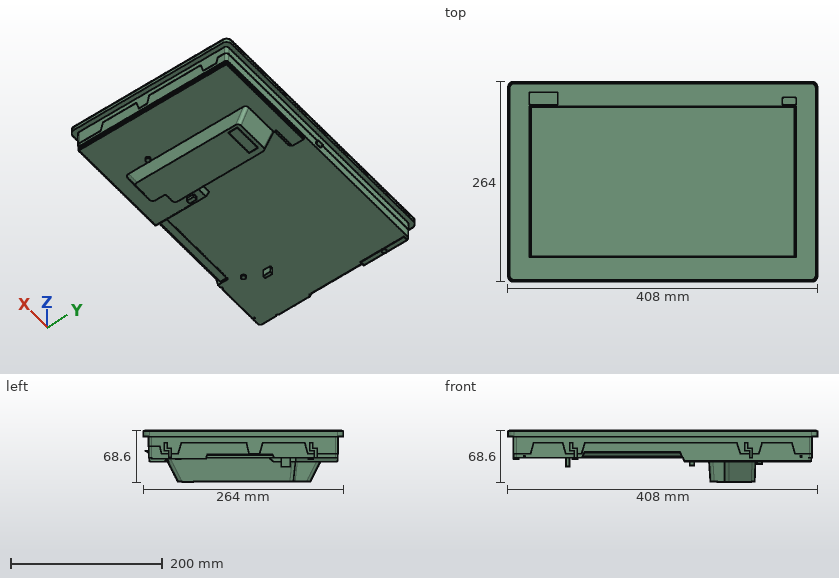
import cadquery as cq


BEZEL_X, BEZEL_Y = 408.0, 264.0
BEZEL_DEPTH = 8.4
BEZEL_CORNER_R = 8.0
GLASS_INSET = 2.6
GLASS_RISE = 0.5
RIM_BEVEL_IN, RIM_BEVEL_DOWN = 1.3, 0.9

SCREEN_X, SCREEN_Y = 352.0, 199.2
SCREEN_LEDGE = 1.5
SCREEN_STEP = 1.1
SCREEN_DEPTH = 2.2
SCREEN_CORNER_R = 2.0

LABEL_DEPTH = 0.2
LABEL_CORNER_R = 2.0
LABEL_GAP = 1.5
LOGO_X, LOGO_Y = 38.0, 17.0
SENSOR_X, SENSOR_Y = 18.5, 10.0

HOUSING_INSET = 7.0
HOUSING_X = BEZEL_X - 2 * HOUSING_INSET
HOUSING_Y = BEZEL_Y - 2 * HOUSING_INSET
HOUSING_CORNER_R = 4.0
REAR_DEPTH = 36.6
SKIN = 0.3

WINDOW_DEPTH = 16.8
TAB_DEPTH = 31.0
BACK_WALL_DEPTH = 21.2

FRONT_WINDOWS = (
    (-174.0, -170.2, -131.8, -127.8),
    (-107.0, -102.6, 97.8, 102.2),
    (126.6, 130.8, 170.2, 174.4),
)
SIDE_WINDOWS = (
    (-85.0, -81.2, -25.6, -21.6),
    (-7.6, -4.4, 81.6, 85.8),
)
BACK_TAB_FOOT_Y, BACK_TAB_TOP_Y = 107.6, 109.9

DEEP_DEPTH = 41.6
DEEP_INSET = 1.0
DEEP_CHAMFER = 1.5
STEP_X = 28.7
STEP_RUN = 2.2
SLOPE_END_Y = -69.0
BAY_Y_MIN, BAY_Y_MAX = -40.0, 104.0
BAY_FLANK_RUN = 5.7

FRONT_RELIEF_TOP, FRONT_RELIEF_LEDGE, FRONT_RELIEF_FOOT = 28.0, 29.4, 34.4
FRONT_RELIEF_LEDGE_IN, FRONT_RELIEF_FOOT_IN, FRONT_RELIEF_REACH = 2.0, 5.0, 17.0
FRONT_RELIEF_X_MIN, FRONT_RELIEF_X_MAX = -102.6, 22.3
FRONT_RELIEF_FLARE = 6.4
SIDE_RELIEF_TOP, SIDE_RELIEF_LEDGE, SIDE_RELIEF_REACH = 31.4, 33.2, 3.0
SIDE_RELIEF_Y_MIN, SIDE_RELIEF_Y_MAX = -38.5, 47.0
SIDE_RELIEF_FLARE = 2.0

BLOCK_DEPTH = 67.8
BLOCK_TOP_X, BLOCK_BOTTOM_X = (60.5, 122.4), (62.6, 121.4)
BLOCK_TOP_Y, BLOCK_BOTTOM_Y = (-104.8, 102.6), (-88.4, 86.2)
BLOCK_NOTCH_X = 82.0
BLOCK_NOTCH_TOP_Y, BLOCK_NOTCH_BOTTOM_Y = -69.5, -66.0
BLOCK_CORNER_R = 5.0
BLOCK_NOTCH_R = 2.0
OVERALL_DEPTH = 68.58
FOOT_X, FOOT_Y = 44.5, 14.8
FOOT_CENTER = (94.4, 73.0)

HOOK_CUT = 1.5
HOOK_TOP, HOOK_SHELF, HOOK_SILL = 16.3, 24.0, 27.0
HOOK_WIDTH, HOOK_ARM, HOOK_SLOT = 9.6, 3.8, 3.6
FRONT_HOOKS = (-122.5, 108.4)
SIDE_HOOKS = (104.2, -87.8)

PIN_HOLE_X, PIN_HOLE_DEPTH = 182.3, 34.6
PIN_HOLE_D, PIN_HOLE_LENGTH = 2.0, 3.0

SCREW_D = 7.0
SHALLOW_SCREWS = ((-115.5, -89.0), (-193.0, 85.5))
SHALLOW_SCREW_HEIGHT = 2.0
CORNER_PAD_WIDTH, CORNER_PAD_HEIGHT = 7.0, 1.1
CORNER_PAD_START_Y = 48.5
DEEP_SCREW = (127.5, -60.0)
DEEP_SCREW_HEIGHT = 3.2

POST_Y = -56.0
POST_LENGTH_Y = 12.0
FAR_POST_X, FAR_POST_WIDTH, FAR_POST_DEPTH = -125.2, 4.8, 47.9
NEAR_POST_X, NEAR_POST_WIDTH, NEAR_POST_DEPTH = 38.5, 6.2, 46.8

LATCH_TOP, LATCH_BOTTOM = 26.8, 29.6
LATCH_REACH, LATCH_WIDTH = 4.2, 10.0

OVERLAP = 1.0
WALL_SLAB = HOUSING_CORNER_R


def block(x, y, top, bottom, center=(0, 0)):
    """Upright box between two depths."""
    return (
        cq.Workplane("XY", origin=(center[0], center[1], -bottom))
        .rect(x, y)
        .extrude(bottom - top)
    )


def rounded_block(x, y, top, bottom, radius, center=(0, 0)):
    return block(x, y, top, bottom, center).edges("|Z").fillet(radius)


def along_y(outline, y_start, y_end):
    """Extrude an (X, depth) outline along Y."""
    points = [(x, -depth) for x, depth in outline]
    plane = cq.Workplane("XZ", origin=(0, y_start, 0))
    return plane.polyline(points).close().extrude(y_start - y_end)


def along_x(outline, x_start, x_end):
    """Extrude a (Y, depth) outline along X."""
    points = [(y, -depth) for y, depth in outline]
    plane = cq.Workplane("YZ", origin=(x_start, 0, 0))
    return plane.polyline(points).close().extrude(x_end - x_start)


def bezel():
    """Bevelled rim with the glass standing slightly above it."""
    rim = rounded_block(BEZEL_X, BEZEL_Y, GLASS_RISE, BEZEL_DEPTH, BEZEL_CORNER_R)
    rim = rim.faces(">Z").edges().chamfer(RIM_BEVEL_DOWN, RIM_BEVEL_IN)
    glass_x = BEZEL_X - 2 * GLASS_INSET
    glass_y = BEZEL_Y - 2 * GLASS_INSET
    glass_bottom = GLASS_RISE + OVERLAP
    return rim.union(rounded_block(glass_x, glass_y, 0, glass_bottom, BEZEL_CORNER_R - GLASS_INSET))


def screen_recess():
    """Recess with one ledge all round and a second along the two short sides."""
    inner_y = SCREEN_Y - 2 * SCREEN_LEDGE
    middle_x = SCREEN_X - 2 * SCREEN_LEDGE
    inner_x = middle_x - 2 * SCREEN_LEDGE
    middle_depth = (SCREEN_STEP + SCREEN_DEPTH) / 2
    recess = rounded_block(SCREEN_X, SCREEN_Y, 0, SCREEN_STEP, SCREEN_CORNER_R)
    recess = recess.union(block(middle_x, inner_y, 0, middle_depth))
    return recess.union(block(inner_x, inner_y, 0, SCREEN_DEPTH))


def label_recess(x, y, side):
    """Shallow label field above one end of the screen; side is -1 or +1 in X."""
    center = (side * (SCREEN_X - x) / 2, SCREEN_Y / 2 + LABEL_GAP + y / 2)
    return rounded_block(x, y, 0, LABEL_DEPTH, LABEL_CORNER_R, center)


def frame_outline(start, windows):
    """Start of a wall sheet outline, its lower edge rising at every window."""
    points = [(start, BEZEL_DEPTH - OVERLAP), (start, TAB_DEPTH)]
    for foot_a, top_a, top_b, foot_b in windows:
        points += [(foot_a, TAB_DEPTH), (top_a, WINDOW_DEPTH)]
        points += [(top_b, WINDOW_DEPTH), (foot_b, TAB_DEPTH)]
    return points


def frame_region():
    """Space occupied by the frame sheet on all four walls."""
    half_x, half_y = HOUSING_X / 2, HOUSING_Y / 2
    front = frame_outline(-half_x, FRONT_WINDOWS)
    front += [(half_x, TAB_DEPTH), (half_x, BEZEL_DEPTH - OVERLAP)]
    side = frame_outline(-half_y, SIDE_WINDOWS)
    side += [(BACK_TAB_FOOT_Y, TAB_DEPTH), (BACK_TAB_TOP_Y, BACK_WALL_DEPTH)]
    side += [(half_y, BACK_WALL_DEPTH), (half_y, BEZEL_DEPTH - OVERLAP)]

    region = block(HOUSING_X, HOUSING_Y, BEZEL_DEPTH - OVERLAP, WINDOW_DEPTH)
    region = region.union(along_y(front, -half_y, -half_y + WALL_SLAB))
    region = region.union(along_x(side, -half_x, -half_x + WALL_SLAB))
    region = region.union(along_x(side, half_x - WALL_SLAB, half_x))
    back_y = half_y - WALL_SLAB / 2
    return region.union(
        block(HOUSING_X, WALL_SLAB, WINDOW_DEPTH - OVERLAP, BACK_WALL_DEPTH, (0, back_y))
    )


def housing():
    """Rear cover wrapped by the slightly proud frame sheet."""
    top = BEZEL_DEPTH - OVERLAP
    cover = rounded_block(
        HOUSING_X - 2 * SKIN, HOUSING_Y - 2 * SKIN, top, REAR_DEPTH, HOUSING_CORNER_R - SKIN
    )
    sheet = rounded_block(HOUSING_X, HOUSING_Y, top, REAR_DEPTH, HOUSING_CORNER_R)
    return cover.union(sheet.intersect(frame_region()))


def deep_section():
    """Raised part of the rear face, with a bay beside the power block."""
    size_x = HOUSING_X - 2 * DEEP_INSET
    y_min = -HOUSING_Y / 2 + SKIN
    y_max = HOUSING_Y / 2 - DEEP_INSET
    top = REAR_DEPTH - OVERLAP
    slab = rounded_block(
        size_x, y_max - y_min, top, DEEP_DEPTH, HOUSING_CORNER_R - SKIN, (0, (y_min + y_max) / 2)
    )
    slab = slab.faces("<Z").edges().chamfer(DEEP_CHAMFER)

    left = -HOUSING_X / 2
    slope = ((left, top), (STEP_X - STEP_RUN, top), (STEP_X - STEP_RUN, REAR_DEPTH))
    slope += ((STEP_X, DEEP_DEPTH), (left, DEEP_DEPTH))
    slab = slab.cut(along_y(slope, -HOUSING_Y / 2, SLOPE_END_Y))
    plain = ((left, top), (STEP_X, top), (STEP_X, DEEP_DEPTH), (left, DEEP_DEPTH))
    slab = slab.cut(along_y(plain, SLOPE_END_Y, HOUSING_Y / 2))

    bay = (
        (BAY_Y_MIN, DEEP_DEPTH), (BAY_Y_MIN + BAY_FLANK_RUN, REAR_DEPTH),
        (BAY_Y_MAX - BAY_FLANK_RUN, REAR_DEPTH), (BAY_Y_MAX, DEEP_DEPTH),
    )
    return slab.cut(along_x(bay, STEP_X, BLOCK_BOTTOM_X[0]))


def block_outline(x_range, y_range, notch_y):
    """Rectangle with its (-X, -Y) corner stepped back."""
    (x_min, x_max), (y_min, y_max) = x_range, y_range
    return [
        (x_min, y_max), (x_min, notch_y), (BLOCK_NOTCH_X, notch_y),
        (BLOCK_NOTCH_X, y_min), (x_max, y_min), (x_max, y_max),
    ]


def power_block():
    """Tapered power unit with rounded corners and a thin foot."""
    top = REAR_DEPTH - OVERLAP
    body = (
        cq.Workplane("XY", origin=(0, 0, -top))
        .polyline(block_outline(BLOCK_TOP_X, BLOCK_TOP_Y, BLOCK_NOTCH_TOP_Y))
        .close()
        .workplane(offset=top - BLOCK_DEPTH)
        .polyline(block_outline(BLOCK_BOTTOM_X, BLOCK_BOTTOM_Y, BLOCK_NOTCH_BOTTOM_Y))
        .close()
        .loft(ruled=True)
    )
    inside_corner = cq.selectors.NearestToPointSelector(
        (BLOCK_NOTCH_X, (BLOCK_NOTCH_TOP_Y + BLOCK_NOTCH_BOTTOM_Y) / 2, -(top + BLOCK_DEPTH) / 2)
    )
    upright = cq.selectors.StringSyntaxSelector("not #Z")
    body = body.edges(upright - inside_corner).fillet(BLOCK_CORNER_R)
    body = body.edges(inside_corner).fillet(BLOCK_NOTCH_R)
    foot = block(FOOT_X, FOOT_Y, BLOCK_DEPTH - OVERLAP, OVERALL_DEPTH, FOOT_CENTER)
    return body.union(foot)


def front_relief():
    """Notch in the lower edge of the -Y wall, its ceiling sloping down inward."""
    wall = -HOUSING_Y / 2
    profile = (
        (wall, FRONT_RELIEF_TOP), (wall + FRONT_RELIEF_LEDGE_IN, FRONT_RELIEF_LEDGE),
        (wall + FRONT_RELIEF_FOOT_IN, FRONT_RELIEF_FOOT),
        (wall + FRONT_RELIEF_REACH, FRONT_RELIEF_FOOT),
        (wall + FRONT_RELIEF_REACH, DEEP_DEPTH), (wall, DEEP_DEPTH),
    )
    mouth = (
        (FRONT_RELIEF_X_MIN, FRONT_RELIEF_TOP),
        (FRONT_RELIEF_X_MAX, FRONT_RELIEF_TOP),
        (FRONT_RELIEF_X_MAX + FRONT_RELIEF_FLARE, DEEP_DEPTH),
        (FRONT_RELIEF_X_MIN - FRONT_RELIEF_FLARE, DEEP_DEPTH),
    )
    cutter = along_x(profile, -HOUSING_X / 2, HOUSING_X / 2)
    return cutter.intersect(along_y(mouth, wall, wall + FRONT_RELIEF_REACH))


def side_relief():
    """Notch in the lower edge of the -X wall."""
    wall = -HOUSING_X / 2
    profile = (
        (wall, SIDE_RELIEF_TOP), (wall + SIDE_RELIEF_REACH, SIDE_RELIEF_LEDGE),
        (wall + SIDE_RELIEF_REACH, REAR_DEPTH), (wall, REAR_DEPTH),
    )
    mouth = (
        (SIDE_RELIEF_Y_MAX, SIDE_RELIEF_TOP),
        (SIDE_RELIEF_Y_MAX + SIDE_RELIEF_FLARE, REAR_DEPTH),
        (SIDE_RELIEF_Y_MIN - SIDE_RELIEF_FLARE, REAR_DEPTH),
        (SIDE_RELIEF_Y_MIN, SIDE_RELIEF_TOP),
    )
    cutter = along_y(profile, -HOUSING_Y / 2, HOUSING_Y / 2)
    return cutter.intersect(along_x(mouth, wall, wall + SIDE_RELIEF_REACH))


def hook_outline(start, direction):
    """Stepped clamp slot, open at the rear; direction is the sense of its step."""
    offsets = (
        (0, HOOK_TOP), (HOOK_ARM, HOOK_TOP), (HOOK_ARM, HOOK_SHELF), (HOOK_WIDTH, HOOK_SHELF),
        (HOOK_WIDTH, REAR_DEPTH), (HOOK_WIDTH - HOOK_SLOT, REAR_DEPTH),
        (HOOK_WIDTH - HOOK_SLOT, HOOK_SILL), (0, HOOK_SILL),
    )
    return [(start + direction * offset, depth) for offset, depth in offsets]


def cut_hooks(body):
    wall_x, wall_y = -HOUSING_X / 2, -HOUSING_Y / 2
    for x in FRONT_HOOKS:
        body = body.cut(along_y(hook_outline(x, 1), wall_y, wall_y + HOOK_CUT))
    for y in SIDE_HOOKS:
        body = body.cut(along_x(hook_outline(y, -1), wall_x, wall_x + HOOK_CUT))
    return body


def cut_pin_holes(body):
    for x in (-PIN_HOLE_X, PIN_HOLE_X):
        plane = cq.Workplane("XZ", origin=(x, -HOUSING_Y / 2, -PIN_HOLE_DEPTH))
        body = body.cut(plane.circle(PIN_HOLE_D / 2).extrude(-PIN_HOLE_LENGTH))
    return body


def screw_head(center, surface, height):
    plane = cq.Workplane("XY", origin=(center[0], center[1], -surface - height))
    return plane.circle(SCREW_D / 2).extrude(height + OVERLAP)


def corner_pad():
    """Thin strip under the rear face along the -X edge, ending at the +Y corner."""
    x_min = -HOUSING_X / 2 + SKIN
    y_max = HOUSING_Y / 2 - HOUSING_CORNER_R
    center = (x_min + CORNER_PAD_WIDTH / 2, (CORNER_PAD_START_Y + y_max) / 2)
    return block(
        CORNER_PAD_WIDTH, y_max - CORNER_PAD_START_Y,
        REAR_DEPTH - OVERLAP, REAR_DEPTH + CORNER_PAD_HEIGHT, center,
    )


def latch():
    """Small snap wedge on the +Y wall."""
    wall = HOUSING_Y / 2
    outline = (
        (wall - OVERLAP, LATCH_TOP), (wall + LATCH_REACH, LATCH_TOP),
        (wall, LATCH_BOTTOM), (wall - OVERLAP, LATCH_BOTTOM),
    )
    return along_x(outline, -LATCH_WIDTH / 2, LATCH_WIDTH / 2)


panel = bezel().cut(screen_recess())
panel = panel.cut(label_recess(LOGO_X, LOGO_Y, -1)).cut(label_recess(SENSOR_X, SENSOR_Y, 1))

body = housing().union(deep_section())
body = body.cut(front_relief()).cut(side_relief())
body = cut_pin_holes(cut_hooks(body))
body = body.union(power_block()).union(latch()).union(corner_pad())
for screw in SHALLOW_SCREWS:
    body = body.union(screw_head(screw, REAR_DEPTH, SHALLOW_SCREW_HEIGHT))
body = body.union(screw_head(DEEP_SCREW, DEEP_DEPTH, DEEP_SCREW_HEIGHT))
for x, width, depth in (
    (FAR_POST_X, FAR_POST_WIDTH, FAR_POST_DEPTH),
    (NEAR_POST_X, NEAR_POST_WIDTH, NEAR_POST_DEPTH),
):
    body = body.union(block(width, POST_LENGTH_Y, REAR_DEPTH - OVERLAP, depth, (x, POST_Y)))

result = panel.union(body)